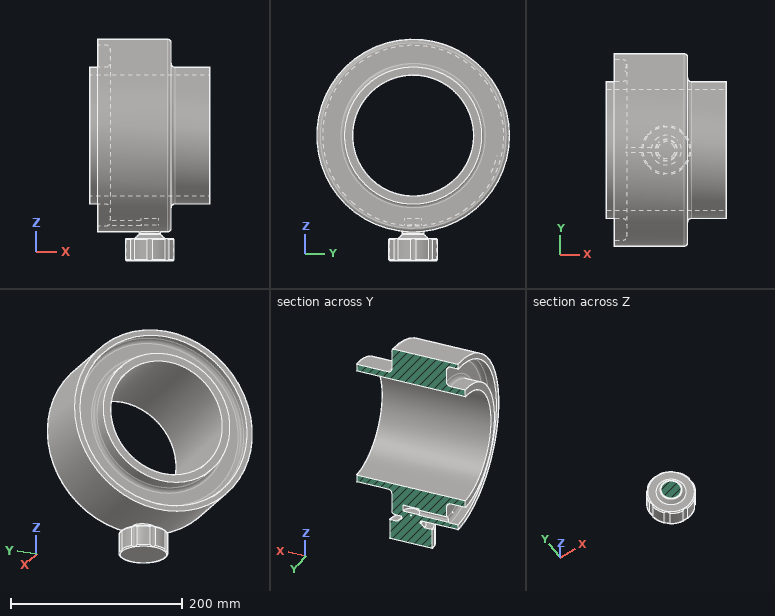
import cadquery as cq
import math

total_length = 140.0
total_height = 258.5
drum_diameter = 225.0

bore_diameter = 141.0
sleeve_diameter = 160.0

drum_start = 9.3
drum_end = 95.0
drum_edge_radius = 4.1
neck_fillet_radius = 4.1

recess_diameter = 211.2
recess_floor = 24.0
recess_fillet = 5.0

knob_diameter = 57.5
knob_height = 26.0
knob_edge_chamfer = 1.5
stem_diameter = 25.5
cone_base_diameter = 35.0
cone_height = 4.7
stem_end = -110.0
seam_height = 0.8
seam_diameter = 24.0
flute_count = 8
flute_width = 6.7
flute_diameter = 11.6

passage_diameter = 6.0
passage_z = -101.8
chamber_diameter = 20.0
chamber_floor = -104.2
chamber_top = -97.0

drum_radius = drum_diameter / 2
knob_x = total_length / 2
knob_bottom = drum_radius - total_height
knob_top = knob_bottom + knob_height
cone_top = knob_top + cone_height


def tube(outer_diameter, inner_diameter, start, end):
    """Hollow cylinder along X between two X positions."""
    return (
        cq.Workplane("YZ", origin=(start, 0, 0))
        .circle(outer_diameter / 2)
        .circle(inner_diameter / 2)
        .extrude(end - start)
    )


def upright(diameter, bottom, top):
    """Vertical cylinder on the knob axis between two heights."""
    return (
        cq.Workplane("XY", origin=(knob_x, 0, bottom))
        .circle(diameter / 2)
        .extrude(top - bottom)
    )


def make_body():
    """Sleeve and drum, with the rounded rear edges and the filleted recess."""
    drum = tube(drum_diameter, bore_diameter, drum_start, drum_end)
    outer_edge = drum.faces(">X").edges(cq.selectors.RadiusNthSelector(-1))
    drum = outer_edge.fillet(drum_edge_radius)
    recess = tube(recess_diameter, sleeve_diameter, drum_start, recess_floor)
    recess = recess.faces(">X").edges().fillet(recess_fillet)
    body = drum.union(tube(sleeve_diameter, bore_diameter, 0, total_length)).cut(recess)

    drum_rear_face = body.faces("+X").faces(cq.selectors.NearestToPointSelector((drum_end, 0, 0)))
    corner = drum_rear_face.edges(cq.selectors.RadiusNthSelector(0))
    return corner.fillet(neck_fillet_radius)


def cut_passage(body):
    """Small hole along X that opens into a closed upright valve chamber."""
    passage = (
        cq.Workplane("YZ", origin=(drum_start, 0, passage_z))
        .circle(passage_diameter / 2)
        .extrude(knob_x - drum_start)
    )

    plug = upright(chamber_diameter, -drum_radius, chamber_floor)
    chamber = upright(chamber_diameter, chamber_floor, chamber_top)
    return body.cut(passage.cut(plug)).cut(chamber)


def make_knob():
    """Fluted knob with a cone, a shallow seam groove and a stem that reaches into the drum."""
    knob = upright(knob_diameter, knob_bottom, knob_top).faces("<Z or >Z").chamfer(knob_edge_chamfer)

    rim_distance = math.sqrt((knob_diameter / 2) ** 2 - (flute_width / 2) ** 2)
    flute_offset = rim_distance + math.sqrt((flute_diameter / 2) ** 2 - (flute_width / 2) ** 2)
    flutes = (
        cq.Workplane("XY", origin=(knob_x, 0, knob_bottom))
        .polarArray(flute_offset, 0, 360, flute_count)
        .circle(flute_diameter / 2)
        .extrude(knob_height)
    )
    knob = knob.cut(flutes)

    cone = (
        cq.Workplane("XY", origin=(knob_x, 0, knob_top))
        .circle(cone_base_diameter / 2)
        .workplane(offset=cone_height)
        .circle(stem_diameter / 2)
        .loft()
    )
    seam = upright(seam_diameter, cone_top, cone_top + seam_height)
    stem = upright(stem_diameter, cone_top + seam_height, stem_end)
    return knob.union(cone).union(seam).union(stem)


result = cut_passage(make_body()).union(make_knob())